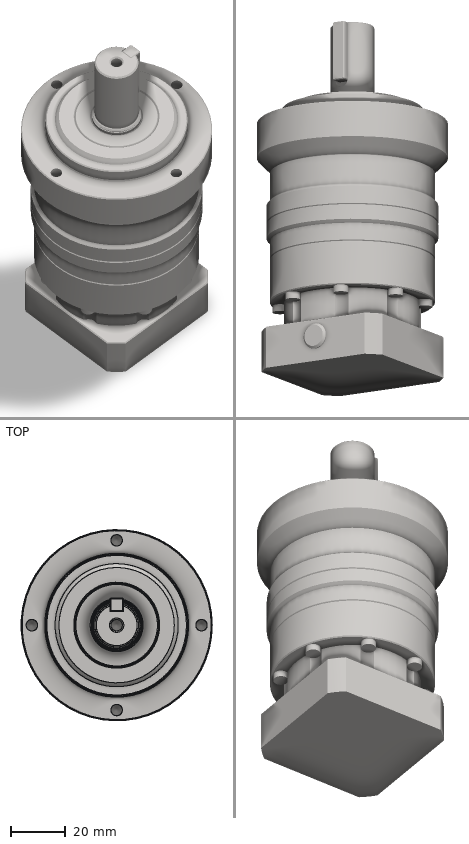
import cadquery as cq
import math

TOTAL_HEIGHT = 131.0
PLATE_TOP = 15.6
BODY_BOTTOM = 27.0
LOWER_JOINT = 43.4
BAND_BOTTOM = 50.0
BAND_JOINT = 56.9
BAND_TOP = 64.8
BODY_TOP = 76.1
FLANGE_BOTTOM = 81.5
FLANGE_TOP = 94.8
PILOT_TOP = 100.0
COVER_TOP = 101.7
COLLAR_TOP = 103.6

BODY_RADIUS = 30.3
BAND_RADIUS = 31.5
FLANGE_RADIUS = 35.0
PILOT_RADIUS = 26.0
COVER_BASE_RADIUS = 22.5
COVER_TOP_RADIUS = 21.1
SEAL_RADIUS = 15.3
SEAL_BORE_RADIUS = 9.3
COLLAR_RADIUS = 9.0
COLLAR_WAIST_RADIUS = 8.6
SHAFT_RADIUS = 8.0

EDGE_BREAK = 0.4
SHAFT_CHAMFER = 0.5
JOINT_DEPTH = 0.33
BAND_BEVEL = BAND_RADIUS - BODY_RADIUS
COLLAR_WAIST_BOTTOM = 102.5
COLLAR_WAIST_TOP = 103.1

PLATE_SIDE = 52.0
PLATE_CORNER_RADIUS = 33.5
PLUG_RADIUS = 4.7
PLUG_HEIGHT = 1.2
PLUG_BEVEL = 0.8
PLUG_Z = 9.3

NECK_RADIUS = 25.2
BOLT_COUNT = 8
BOLT_CIRCLE_RADIUS = 26.9
BOLT_HEAD_RADIUS = 2.8
BOLT_HEAD_HEIGHT = 2.5
SCALLOP_RADIUS = 3.1
NECK_EDGE_BREAK = 0.3

HOLE_COUNT = 4
HOLE_CIRCLE_RADIUS = 31.0
HOLE_RADIUS = 2.1
HOLE_DEPTH = 10.0
CENTRE_HOLE_RADIUS = 2.1
CENTRE_HOLE_DEPTH = 12.5
CENTRE_HOLE_BEVEL = 0.5
DRILL_POINT_ANGLE = 118.0
KEY_SIZE = 5.0
KEY_OUTER_Y = 10.0
KEY_BOTTOM = 109.3
KEY_BEVEL = 0.33


def turned_body():
    """Revolved housing, flange, pilot, seal and shaft above the neck."""
    flange_cone_radius = FLANGE_RADIUS - (FLANGE_BOTTOM - BODY_TOP)
    collar_bevel = COLLAR_TOP - COLLAR_WAIST_TOP
    seal_bevel_bottom = COVER_TOP - EDGE_BREAK
    profile = [
        (0, BODY_BOTTOM),
        (BODY_RADIUS - EDGE_BREAK, BODY_BOTTOM),
        (BODY_RADIUS, BODY_BOTTOM + EDGE_BREAK),
        (BODY_RADIUS, LOWER_JOINT - JOINT_DEPTH),
        (BODY_RADIUS - JOINT_DEPTH, LOWER_JOINT),
        (BODY_RADIUS, LOWER_JOINT + JOINT_DEPTH),
        (BODY_RADIUS, BAND_BOTTOM),
        (BAND_RADIUS, BAND_BOTTOM + BAND_BEVEL),
        (BAND_RADIUS, BAND_JOINT - JOINT_DEPTH),
        (BAND_RADIUS - JOINT_DEPTH, BAND_JOINT),
        (BAND_RADIUS, BAND_JOINT + JOINT_DEPTH),
        (BAND_RADIUS, BAND_TOP - BAND_BEVEL),
        (BODY_RADIUS, BAND_TOP),
        (BODY_RADIUS, BODY_TOP - EDGE_BREAK),
        (flange_cone_radius, BODY_TOP),
        (FLANGE_RADIUS, FLANGE_BOTTOM),
        (FLANGE_RADIUS, FLANGE_TOP - EDGE_BREAK),
        (FLANGE_RADIUS - EDGE_BREAK, FLANGE_TOP),
        (PILOT_RADIUS + EDGE_BREAK, FLANGE_TOP),
        (PILOT_RADIUS, FLANGE_TOP + EDGE_BREAK),
        (PILOT_RADIUS, PILOT_TOP - EDGE_BREAK),
        (PILOT_RADIUS - EDGE_BREAK, PILOT_TOP),
        (COVER_BASE_RADIUS, PILOT_TOP),
        (COVER_TOP_RADIUS, COVER_TOP),
        (SEAL_RADIUS + EDGE_BREAK, COVER_TOP),
        (SEAL_RADIUS, seal_bevel_bottom),
        (SEAL_RADIUS - EDGE_BREAK, COVER_TOP),
        (SEAL_BORE_RADIUS + EDGE_BREAK, COVER_TOP),
        (SEAL_BORE_RADIUS, seal_bevel_bottom),
        (COLLAR_RADIUS, seal_bevel_bottom),
        (COLLAR_RADIUS, COLLAR_WAIST_BOTTOM),
        (COLLAR_WAIST_RADIUS, COLLAR_WAIST_BOTTOM),
        (COLLAR_WAIST_RADIUS, COLLAR_WAIST_TOP),
        (COLLAR_RADIUS, COLLAR_WAIST_TOP),
        (COLLAR_RADIUS - collar_bevel, COLLAR_TOP),
        (SHAFT_RADIUS, COLLAR_TOP),
        (SHAFT_RADIUS, TOTAL_HEIGHT - SHAFT_CHAMFER),
        (SHAFT_RADIUS - SHAFT_CHAMFER, TOTAL_HEIGHT),
        (0, TOTAL_HEIGHT),
    ]
    return cq.Workplane("XZ").polyline(profile).close().revolve(360, (0, 0), (0, 1))


def plate():
    """Square plate whose corners are turned to a cylinder, with a plug on the +Y side."""
    square = cq.Workplane("XY").rect(PLATE_SIDE, PLATE_SIDE).extrude(PLATE_TOP)
    corner_limit = cq.Workplane("XY").circle(PLATE_CORNER_RADIUS).extrude(PLATE_TOP)
    plug = (
        cq.Workplane("XZ", origin=(0, PLATE_SIDE / 2, PLUG_Z))
        .circle(PLUG_RADIUS)
        .extrude(-PLUG_HEIGHT)
        .faces(">Y")
        .chamfer(PLUG_BEVEL)
    )
    blank = square.intersect(corner_limit).faces(">Z").chamfer(EDGE_BREAK)
    return blank.union(plug)


def bolt_ring(radius, bottom, top):
    """Upright cylinders spread over the bolt circle."""
    half_pitch = 180.0 / BOLT_COUNT
    return (
        cq.Workplane("XY", origin=(0, 0, bottom))
        .polarArray(BOLT_CIRCLE_RADIUS, half_pitch, 360, BOLT_COUNT)
        .circle(radius)
        .extrude(top - bottom)
    )


def neck():
    """Round neck scalloped around each bolt, with the bolt heads under the housing."""
    core = (
        cq.Workplane("XY", origin=(0, 0, PLATE_TOP))
        .circle(NECK_RADIUS)
        .extrude(BODY_BOTTOM - PLATE_TOP)
        .faces("<Z or >Z")
        .chamfer(NECK_EDGE_BREAK)
    )
    scallops = bolt_ring(SCALLOP_RADIUS, PLATE_TOP, BODY_BOTTOM)
    heads = bolt_ring(BOLT_HEAD_RADIUS, BODY_BOTTOM - BOLT_HEAD_HEIGHT, BODY_BOTTOM)
    return core.cut(scallops).union(heads)


def drilled_hole(x, y, top, radius, depth, bevel=0.0):
    """Blind hole with a conical drill point and an optional countersunk mouth."""
    point_depth = radius / math.tan(math.radians(DRILL_POINT_ANGLE / 2))
    profile = [(0, top - depth - point_depth), (radius, top - depth)]
    if bevel:
        profile.append((radius, top - bevel))
    profile += [(radius + bevel, top), (0, top)]
    tool = cq.Workplane("XZ").polyline(profile).close().revolve(360, (0, 0), (0, 1))
    return tool.translate((x, y, 0))


def key_and_keyway():
    """Square key flush with the shaft end, and the round-ended keyway around it."""
    floor_y = KEY_OUTER_Y - KEY_SIZE
    key_height = TOTAL_HEIGHT - KEY_BOTTOM
    key = cq.Workplane("XY").box(KEY_SIZE, KEY_SIZE, key_height, centered=(True, False, False))
    key_slot = key.translate((0, floor_y, KEY_BOTTOM))
    keyway_end = (
        cq.Workplane("XZ", origin=(0, floor_y, KEY_BOTTOM)).circle(KEY_SIZE / 2).extrude(-KEY_SIZE)
    )
    return key_slot.edges().chamfer(KEY_BEVEL), keyway_end.union(key_slot)


key, keyway = key_and_keyway()
result = turned_body().union(neck()).union(plate())
result = result.cut(keyway).union(key)
result = result.cut(
    drilled_hole(0, 0, TOTAL_HEIGHT, CENTRE_HOLE_RADIUS, CENTRE_HOLE_DEPTH, CENTRE_HOLE_BEVEL)
)
for index in range(HOLE_COUNT):
    angle = 2 * math.pi * index / HOLE_COUNT
    hole_x = HOLE_CIRCLE_RADIUS * math.cos(angle)
    hole_y = HOLE_CIRCLE_RADIUS * math.sin(angle)
    result = result.cut(drilled_hole(hole_x, hole_y, FLANGE_TOP, HOLE_RADIUS, HOLE_DEPTH))